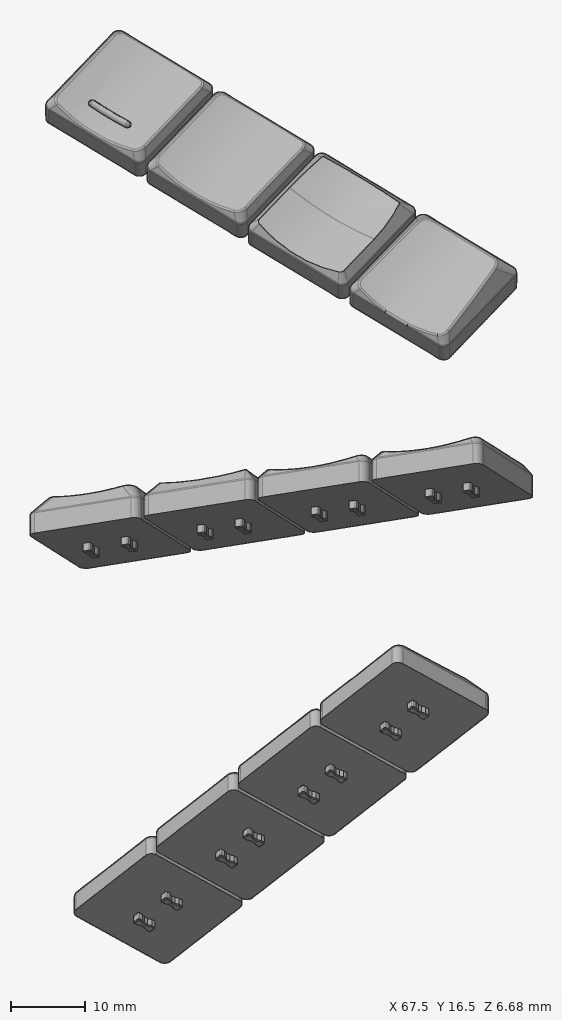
import cadquery as cq
import math

row_length = 67.5
cap_size = 16.5
cap_count = 4
pitch = (row_length - cap_size) / (cap_count - 1)

skirt_height = 3.0
corner_radius = 1.0
skirt_fillet = 0.35
shoulder_angle = 35.0
shoulder_height = 3.4
shoulder_top_radius = 1.7
saddle_shoulder_angle = 42.0
saddle_shoulder_height = 2.2
saddle_shoulder_top_radius = 0.1
rim_fillet = 0.35

dish_floor = 3.3
dish_radius = 28.35
dish_half_width = 9.45
dish_cut_height = 5.4
dish_reach = 10.1
saddle_rise_radius = 25.0

tilted_floor = 4.0
tilt_angle = 7.2
tilted_rise_radius = 202.5

bar_radius = 0.505
bar_length = 5.9
bar_y = -4.25
bar_axis_height = 3.4

leg_spacing = 5.7
leg_width = 1.15
leg_depth = 3.0
leg_drop = 1.2
leg_fillet = 0.17
leg_tip_chamfer = 0.15
waist_inset = 0.2
waist_length = 1.6
waist_floor_length = 0.55

selection_margin = 0.01


def cap_blank(angle, height, top_radius):
    """Rounded-square skirt with a shoulder sloping inward on all four sides."""
    top_size = cap_size - 2 * height * math.tan(math.radians(angle))
    base = cq.Sketch().rect(cap_size, cap_size).vertices().fillet(corner_radius)
    top = cq.Sketch().rect(top_size, top_size).vertices().fillet(top_radius)
    skirt = cq.Workplane("XY").placeSketch(base).extrude(skirt_height)
    shoulder = (
        cq.Workplane("XY", origin=(0, 0, skirt_height))
        .placeSketch(base, top.moved(cq.Location(cq.Vector(0, 0, height))))
        .loft(ruled=True)
    )
    skirt_rim = cq.selectors.BoxSelector(
        (-cap_size, -cap_size, skirt_height - selection_margin),
        (cap_size, cap_size, skirt_height + selection_margin),
        boundingbox=True,
    )
    return skirt.union(shoulder).edges(skirt_rim).fillet(skirt_fillet)


def dish_section(floor):
    """Region above the trough arc, in the XZ plane through Y = 0."""
    rise = dish_radius - math.sqrt(dish_radius**2 - dish_half_width**2)
    return (
        cq.Workplane("XZ", origin=(0, 0, floor))
        .moveTo(-dish_half_width, rise)
        .threePointArc((0, 0), (dish_half_width, rise))
        .lineTo(dish_half_width, dish_cut_height)
        .lineTo(-dish_half_width, dish_cut_height)
        .close()
    )


def rising_trough(floor, rise_radius, length):
    """Trough that starts level at Y = 0 and curves upward toward +Y."""
    sweep_angle = math.degrees(length / rise_radius)
    return dish_section(floor).revolve(sweep_angle, (-0.7, rise_radius, 0), (0.7, rise_radius, 0))


def straight_dish():
    return dish_section(dish_floor).extrude(dish_reach, both=True)


def saddle_dish():
    """Level trough in front, curving upward behind the middle of the cap."""
    front = dish_section(dish_floor).extrude(dish_reach)
    back = rising_trough(dish_floor, saddle_rise_radius, dish_reach)
    return front.union(back)


def tilted_dish():
    """Slightly curved trough whose floor climbs at the tilt angle at the middle of the cap."""
    back = rising_trough(0, tilted_rise_radius, dish_reach)
    front = back.mirror("XZ")
    trough = front.union(back)
    return trough.rotate((0, 0, 0), (1, 0, 0), tilt_angle).translate((0, 0, tilted_floor))


def round_rim(cap):
    """Round the edge all around the dish, picked through the dish face over the cap centre."""
    half_probe = cap_size / 4
    dish_face = cq.selectors.BoxSelector(
        (-half_probe, -half_probe, skirt_height + selection_margin),
        (half_probe, half_probe, skirt_height + shoulder_height),
    )
    return cap.faces(dish_face).edges().fillet(rim_fillet)


def homing_bar():
    """Round-ended bar that follows the trough arc across X."""
    bend_radius = dish_floor + dish_radius - bar_axis_height
    bend_height = bar_axis_height + bend_radius
    half_angle = bar_length / bend_radius / 2
    bar = (
        cq.Workplane("YZ", origin=(0, bar_y, bar_axis_height))
        .circle(bar_radius)
        .revolve(2 * math.degrees(half_angle), (-0.7, bend_radius, 0), (0.7, bend_radius, 0))
        .rotate((0, 0, bend_height), (0, 1, bend_height), -math.degrees(half_angle))
    )
    for side in (-1, 1):
        end_x = side * bend_radius * math.sin(half_angle)
        end_z = bend_height - bend_radius * math.cos(half_angle)
        bar = bar.union(cq.Workplane("XY").sphere(bar_radius).translate((end_x, bar_y, end_z)))
    return bar


def leg(x):
    """Blade with a shallow waist on both wide faces."""
    face_x = leg_width / 2
    waist_x = face_x - waist_inset
    right_side = [
        (face_x, -leg_depth / 2),
        (face_x, -waist_length / 2),
        (waist_x, -waist_floor_length / 2),
        (waist_x, waist_floor_length / 2),
        (face_x, waist_length / 2),
        (face_x, leg_depth / 2),
    ]
    left_side = [(-px, -py) for px, py in right_side]
    blade = cq.Workplane("XY").polyline(right_side + left_side).close().extrude(-leg_drop)
    blade = blade.edges("|Z").edges("<Y or >Y").fillet(leg_fillet)
    return blade.faces("<Z").chamfer(leg_tip_chamfer).translate((x, 0, 0))


def add_legs(cap):
    for side in (-1, 1):
        cap = cap.union(leg(side * leg_spacing / 2))
    return cap


def plain_cap():
    blank = cap_blank(shoulder_angle, shoulder_height, shoulder_top_radius)
    return add_legs(round_rim(blank.cut(straight_dish())))


def homing_cap():
    return plain_cap().union(homing_bar())


def saddle_cap():
    """Cap with a crisp rim and shoulder corners that narrow toward the top."""
    blank = cap_blank(saddle_shoulder_angle, saddle_shoulder_height, saddle_shoulder_top_radius)
    return add_legs(blank.cut(saddle_dish()))


def tilted_cap():
    blank = cap_blank(shoulder_angle, shoulder_height, shoulder_top_radius)
    return add_legs(round_rim(blank.cut(tilted_dish())))


cap_makers = [homing_cap, plain_cap, saddle_cap, tilted_cap]
caps = []
for position, make_cap in enumerate(cap_makers):
    cap_x = position * pitch - (row_length - cap_size) / 2
    caps.append(make_cap().translate((cap_x, 0, 0)))

result = cq.Compound.makeCompound([cap.solids().val() for cap in caps])